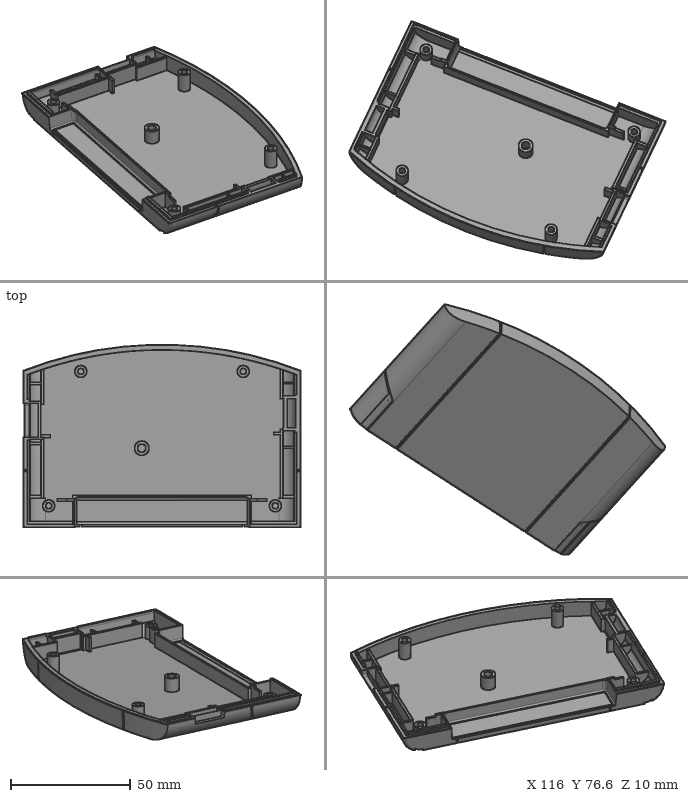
import cadquery as cq
import math

HALF_WIDTH = 58.0
DEPTH = 76.6
CORNER_Y = 65.7
RIM_Z = 9.0
LIP_TOP_Z = 10.0
BAND_HEIGHT = 0.3
BAND_TAPER = 20
PART_LINE_Z = RIM_Z - BAND_HEIGHT
DRAFT = 2.5
FRONT_FILLET = 0.9
SIDE_WALL = 2.1
LINER_TOP_X = 55.6
LINER_LOW_X = 55.1
LINER_LOW_Z = 5.2
FRONT_WALL = 2.7
REAR_WALL = 2.2
FLOOR_Z = 1.7
OVERRUN = 2.3

SIDE_RADIUS = PART_LINE_Z
INNER_HALF_WIDTH = HALF_WIDTH - SIDE_WALL
INNER_SIDE_RADIUS = PART_LINE_Z - FLOOR_Z
REAR_SAG = DEPTH - CORNER_Y
REAR_RADIUS = (HALF_WIDTH**2 + REAR_SAG**2) / (2 * REAR_SAG)
REAR_CENTER_Y = DEPTH - REAR_RADIUS

RECESS_HALF_WIDTH = 36.3
RECESS_REAR_Y = 12.4
RECESS_DRAFT = 4.0
RECESS_FILLET = 0.8
RECESS_CORNER = 1.4
LEDGE_Z = 2.8
PANEL_Z = 2.3
PANEL_HALF_WIDTH = 35.6
PANEL_FRONT_Y = 1.2
PANEL_REAR_Y = 11.5
PANEL_SLOPE = 1.2
RECESS_WALL_OUTER_X = 37.5
RECESS_WALL_OUTER_Y = 13.5
RECESS_REAR_WALL_Z = 7.8
RECESS_STEP_Y = 12.0

GROOVE_X = 34.0
GROOVE_WIDTH = 0.8
GROOVE_DEPTH = 1.0
GROOVE_REAR_TOP_Z = 8.4
CORNER_GROOVE_X = (49.3, 52.9)
CORNER_GROOVE_BEND_Y = 20.3
CORNER_GROOVE_SIDE_Y = 24.0
CORNER_GROOVE_WIDTH = 0.7

LIP_OUTER_X = 56.5
LIP_FRONT_Y = 1.4
LIP_END_X = 37.4
LEFT_LIP_GAP = (36.5, 53.6)
RIGHT_LIP_GAP = (39.8, 55.6)

NOTCH_Y = (37.7, 52.0)
NOTCH_Z = 6.3
NOTCH_FILLET = 0.8

POCKET_Y = (41.6, 53.9)
FLAT_FLOOR_X = 50.7

WALL_TOP_Z = 8.1
RIB_TOP_Z = 7.5
TAB_TOP_Z = 8.1
LONG_WALL_X = (49.4, 50.6)
CROSS_RIB_Y = (12.3, 13.5)

POST_DIAMETER = 5.0
POST_HOLE = 2.5
CENTER_POST_DIAMETER = 6.0
CENTER_POST_HOLE = 3.5
REAR_POST = (34.0, 65.3, LIP_TOP_Z)
FRONT_POST = (47.5, 9.0, 7.3)
CENTER_POST = (-8.5, 33.2, 7.8)


def box(x0, x1, y0, y1, z0, z1):
    return cq.Workplane("XY").box(x1 - x0, y1 - y0, z1 - z0, centered=False).translate((x0, y0, z0))


def plan_outline(z, half_width, front_y, rear_radius):
    """Straight front and sides with an arc at the rear."""
    side_y = REAR_CENTER_Y + math.sqrt(rear_radius**2 - half_width**2)
    return (
        cq.Workplane("XY", origin=(0, 0, z))
        .moveTo(-half_width, front_y)
        .lineTo(half_width, front_y)
        .lineTo(half_width, side_y)
        .threePointArc((0, REAR_CENTER_Y + rear_radius), (-half_width, side_y))
        .close()
    )


def side_section(half_width, radius, bottom_z, top_z):
    """Section across X with quarter-round lower corners, run along the full depth."""
    knee_x = half_width - radius
    knee_z = bottom_z + radius
    diagonal = radius * math.sqrt(0.5)
    return (
        cq.Workplane("XZ", origin=(0, DEPTH + OVERRUN, 0))
        .moveTo(-knee_x, bottom_z)
        .lineTo(knee_x, bottom_z)
        .threePointArc((knee_x + diagonal, knee_z - diagonal), (half_width, knee_z))
        .lineTo(half_width, top_z)
        .lineTo(-half_width, top_z)
        .lineTo(-half_width, knee_z)
        .threePointArc((-knee_x - diagonal, knee_z - diagonal), (-knee_x, bottom_z))
        .close()
        .extrude(DEPTH + 2 * OVERRUN)
    )


def make_blank():
    wide = HALF_WIDTH + OVERRUN
    lower = plan_outline(PART_LINE_Z, wide, 0, REAR_RADIUS).extrude(-PART_LINE_Z, taper=DRAFT)
    band = plan_outline(PART_LINE_Z, wide, 0, REAR_RADIUS).extrude(BAND_HEIGHT, taper=BAND_TAPER)
    section = side_section(HALF_WIDTH, SIDE_RADIUS, 0, RIM_Z)
    front_edges = cq.selectors.BoxSelector(
        (-HALF_WIDTH - 1.2, -1.2, -1.2), (HALF_WIDTH + 1.2, 0.6, PART_LINE_Z - 0.1)
    )
    body = lower.intersect(section).edges(front_edges).fillet(FRONT_FILLET)
    return body.union(band.intersect(section))


def make_cavity():
    top_z = RIM_Z + OVERRUN
    plan = plan_outline(0, INNER_HALF_WIDTH, FRONT_WALL, REAR_RADIUS - REAR_WALL).extrude(top_z)
    hollow = plan.intersect(side_section(INNER_HALF_WIDTH, INNER_SIDE_RADIUS, FLOOR_Z, top_z))
    liner = (
        cq.Workplane("XZ", origin=(0, DEPTH, 0))
        .polyline([
            (-LINER_LOW_X, 0),
            (LINER_LOW_X, 0),
            (LINER_LOW_X, LINER_LOW_Z),
            (LINER_TOP_X, RIM_Z),
            (LINER_TOP_X, top_z),
            (-LINER_TOP_X, top_z),
            (-LINER_TOP_X, RIM_Z),
            (-LINER_LOW_X, LINER_LOW_Z),
        ])
        .close()
        .extrude(DEPTH)
    )
    pocket = hollow.intersect(box(0, HALF_WIDTH, *POCKET_Y, 0, top_z))
    flat_floor = plan.intersect(box(-FLAT_FLOOR_X, FLAT_FLOOR_X, CROSS_RIB_Y[0], DEPTH, FLOOR_Z, top_z))
    return hollow.intersect(liner).union(pocket).union(flat_floor)


def make_recess_cutter():
    front_y = -2 * OVERRUN
    foot = (
        cq.Sketch()
        .rect(2 * RECESS_HALF_WIDTH, RECESS_REAR_Y - front_y)
        .vertices()
        .fillet(RECESS_CORNER)
    )
    upper = (
        cq.Workplane("XY", origin=(0, (RECESS_REAR_Y + front_y) / 2, LEDGE_Z))
        .placeSketch(foot)
        .extrude(LIP_TOP_Z - LEDGE_Z, taper=-RECESS_DRAFT)
        .faces("<Z").edges().fillet(RECESS_FILLET)
    )
    panel = (
        cq.Workplane("YZ", origin=(-PANEL_HALF_WIDTH, 0, 0))
        .moveTo(PANEL_FRONT_Y, LEDGE_Z)
        .lineTo(PANEL_FRONT_Y + PANEL_SLOPE, PANEL_Z)
        .lineTo(PANEL_REAR_Y, PANEL_Z)
        .lineTo(PANEL_REAR_Y, LEDGE_Z + RECESS_FILLET)
        .lineTo(PANEL_FRONT_Y, LEDGE_Z + RECESS_FILLET)
        .close()
        .extrude(2 * PANEL_HALF_WIDTH)
    )
    return upper.union(panel)


def make_recess_block():
    x = RECESS_WALL_OUTER_X
    front = box(-x, x, 0, RECESS_STEP_Y, 0, RIM_Z)
    rear = box(-x, x, 0, RECESS_WALL_OUTER_Y, 0, RECESS_REAR_WALL_Z)
    return front.union(rear)


def make_inner_walls():
    x_in, x_out = LONG_WALL_X
    side = HALF_WIDTH
    rib_front, rib_rear = CROSS_RIB_Y
    boxes = [
        (-x_out, -x_in, 51.6, DEPTH, WALL_TOP_Z),
        (-x_out, -x_in, rib_front, 37.7, WALL_TOP_Z),
        (-51.7, -50.7, 37.0, 52.8, RIM_Z),
        (-side, -50.7, 52.0, 52.8, RIM_Z),
        (-side, -x_in, 37.0, 37.7, RIM_Z),
        (-side, -x_in, rib_front, rib_rear, RIB_TOP_Z),
        (-side, -x_in, 34.7, 35.6, RIB_TOP_Z),
        (-side, -x_in, 59.7, 60.8, RIB_TOP_Z),
        (-51.7, -46.7, 37.6, 38.7, TAB_TOP_Z),
        (x_in, x_out, 53.9, DEPTH, WALL_TOP_Z),
        (x_in, x_out, rib_front, 41.2, WALL_TOP_Z),
        (51.0, 52.4, 40.5, 55.1, RIM_Z),
        (x_out, side, 53.9, 55.1, RIM_Z),
        (x_out, side, 40.5, 41.6, RIM_Z),
        (x_in, side, rib_front, rib_rear, RIB_TOP_Z),
        (x_in, side, 33.1, 34.0, RIB_TOP_Z),
        (x_in, side, 60.1, 60.8, RIB_TOP_Z),
        (46.7, x_out, 38.9, 39.9, TAB_TOP_Z),
        (-43.8, -37.1, 10.9, 12.0, 8.1),
        (-39.8, -37.1, 10.9, 12.0, 9.0),
        (37.1, 43.8, 10.9, 12.0, 8.1),
        (37.1, 39.8, 10.9, 12.0, 9.0),
    ]
    walls = make_recess_block()
    for x0, x1, y0, y1, top in boxes:
        walls = walls.union(box(x0, x1, y0, y1, 0, top))
    return walls


def make_lip():
    z0 = RIM_Z - BAND_HEIGHT
    outer = plan_outline(z0, LIP_OUTER_X, LIP_FRONT_Y, REAR_RADIUS - REAR_WALL).extrude(LIP_TOP_Z - z0)
    inner = box(-LINER_TOP_X, LINER_TOP_X, FRONT_WALL, DEPTH, 0, LIP_TOP_Z + 1.2)
    lip = outer.cut(inner)
    lip = lip.cut(box(-LIP_END_X, LIP_END_X, 0, DEPTH, 0, LIP_TOP_Z + 1.2))
    lip = lip.cut(box(-HALF_WIDTH, 0, *LEFT_LIP_GAP, 0, LIP_TOP_Z + 1.2))
    return lip.cut(box(0, HALF_WIDTH, *RIGHT_LIP_GAP, 0, LIP_TOP_Z + 1.2))


def make_notch_cutter():
    return (
        box(-HALF_WIDTH - 1.2, -LINER_TOP_X, *NOTCH_Y, NOTCH_Z, LIP_TOP_Z)
        .edges("|X and <Z").fillet(NOTCH_FILLET)
    )


def make_groove(x):
    x0 = x - GROOVE_WIDTH / 2
    x1 = x + GROOVE_WIDTH / 2
    rear_y = REAR_CENTER_Y + math.sqrt(REAR_RADIUS**2 - x**2)
    bottom = box(x0, x1, -1.2, DEPTH, -1.2, GROOVE_DEPTH)
    front = box(x0, x1, -1.2, GROOVE_DEPTH, -1.2, LEDGE_Z)
    rear = box(x0, x1, rear_y - GROOVE_DEPTH, DEPTH, -1.2, GROOVE_REAR_TOP_Z)
    return bottom.union(front).union(rear)


def make_corner_groove(side):
    """L-shaped groove sunk to an even depth in the rounded lower corner."""
    x_in, x_out = CORNER_GROOVE_X
    x_end = HALF_WIDTH + OVERRUN
    slope = (CORNER_GROOVE_SIDE_Y - CORNER_GROOVE_BEND_Y) / (HALF_WIDTH - x_out)
    y_end = CORNER_GROOVE_BEND_Y + slope * (x_end - x_out)
    y_in = CORNER_GROOVE_BEND_Y - slope * (x_out - x_in)
    path = [
        (x_in, -OVERRUN),
        (x_out, -OVERRUN),
        (x_out, CORNER_GROOVE_BEND_Y),
        (x_end, y_end),
        (x_end, y_end + CORNER_GROOVE_WIDTH),
        (x_in, y_in + CORNER_GROOVE_WIDTH),
    ]
    area = cq.Workplane("XY").polyline([(side * x, y) for x, y in path]).close().extrude(PART_LINE_Z)
    core = side_section(HALF_WIDTH - GROOVE_DEPTH, SIDE_RADIUS - GROOVE_DEPTH, GROOVE_DEPTH, RIM_Z)
    return area.cut(core)


def add_post(body, x, y, top_z, diameter, hole):
    post = cq.Workplane("XY").center(x, y).circle(diameter / 2).extrude(top_z - 1.2).translate((0, 0, 1.2))
    bore = cq.Workplane("XY").center(x, y).circle(hole / 2).extrude(top_z - FLOOR_Z).translate((0, 0, FLOOR_Z))
    return body.union(post).cut(bore)


blank = make_blank()
result = blank.cut(make_cavity())
result = result.union(make_inner_walls().intersect(blank))
result = result.union(make_lip())
result = result.cut(make_recess_cutter())
result = result.cut(make_notch_cutter())
for side in (-1, 1):
    result = result.cut(make_groove(side * GROOVE_X))
    result = result.cut(make_corner_groove(side))
    for x, y, top_z in (REAR_POST, FRONT_POST):
        result = add_post(result, side * x, y, top_z, POST_DIAMETER, POST_HOLE)
result = add_post(result, *CENTER_POST, CENTER_POST_DIAMETER, CENTER_POST_HOLE)